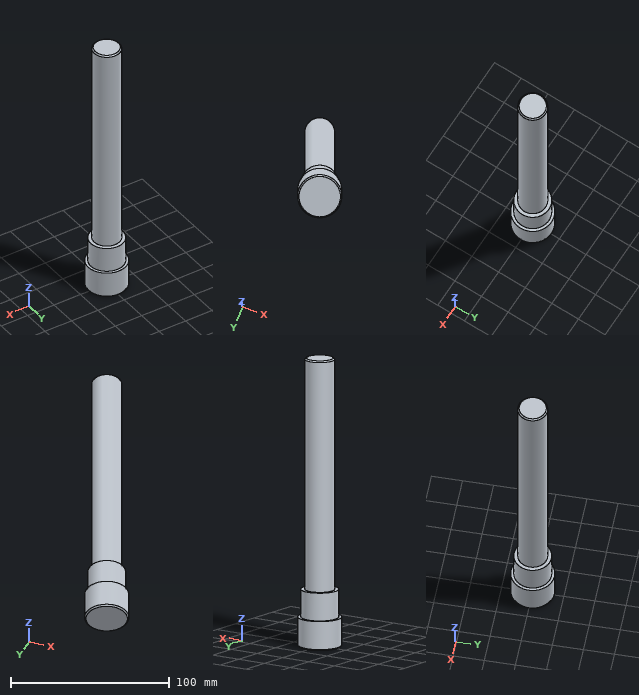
import cadquery as cq

total_height = 187.0
head_height = 19.0
collar_top = 37.0

head_diameter = 28.0
collar_diameter = 24.1
shank_diameter = 19.0

head_chamfer = 1.0
tip_chamfer = 1.0


def cylinder(diameter, bottom, top):
    """Solid cylinder on the Z axis between two levels."""
    return cq.Workplane("XY").workplane(offset=bottom).circle(diameter / 2).extrude(top - bottom)


head = cylinder(head_diameter, 0, head_height).faces("<Z").chamfer(head_chamfer)
collar = cylinder(collar_diameter, head_height, collar_top)
shank = cylinder(shank_diameter, collar_top, total_height).faces(">Z").chamfer(tip_chamfer)

result = head.union(collar).union(shank)